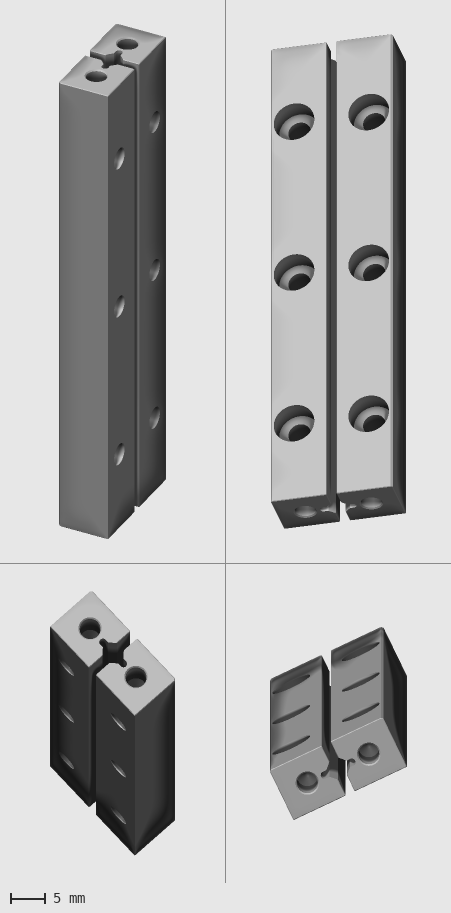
import cadquery as cq
import math

length = 75.0
thickness = 8.0
pair_width = 18.0
rail_gap = 1.4
rail_width = (pair_width - rail_gap) / 2
half_gap = rail_gap / 2

long_edge_chamfer = 0.26
fine_chamfer = 0.1

groove_half_width = 1.4
relief_radius = 0.5
relief_bottom_y = 2.7

mount_count = 3
mount_pitch = length / mount_count
mount_spacing = 11.0
mount_y = mount_spacing / 2
mount_diameter = 3.3
counterbore_diameter = 6.0
counterbore_depth = 3.2

end_hole_spacing = 9.75
end_hole_y = end_hole_spacing / 2
end_hole_diameter = 3.0
end_hole_mouth_diameter = 3.4
end_hole_depth = 6.0
drill_point_half_angle = 45.0


def rail_blank():
    """Rectangular bar with a chamfer on its outer -X edge and fine ones on its inner edges and ends."""
    bar = cq.Workplane("XY").box(thickness, rail_width, length)
    bar = bar.translate((0, half_gap + rail_width / 2, 0))
    bar = bar.edges("|Z and <X and >Y").chamfer(long_edge_chamfer)
    bar = bar.edges("|Z and <Y").chamfer(fine_chamfer)
    return bar.faces("<Z or >Z").chamfer(fine_chamfer)


def groove_cutter():
    """45 degree V-groove that runs into the relief slot."""
    slot_mouth_y = half_gap + groove_half_width - relief_radius
    slot_arc_y = relief_bottom_y - relief_radius
    return (
        cq.Workplane("XY", origin=(0, 0, -length / 2))
        .moveTo(-groove_half_width, half_gap)
        .lineTo(-relief_radius, slot_mouth_y)
        .lineTo(-relief_radius, slot_arc_y)
        .threePointArc((0, relief_bottom_y), (relief_radius, slot_arc_y))
        .lineTo(relief_radius, slot_mouth_y)
        .lineTo(groove_half_width, half_gap)
        .close()
        .extrude(length)
    )


def mount_hole_cutter(z):
    """Through hole along X with its counterbore sunk from the -X face."""
    start = cq.Workplane("YZ", origin=(-thickness / 2, mount_y, z))
    hole = start.circle(mount_diameter / 2).extrude(thickness)
    counterbore = start.circle(counterbore_diameter / 2).extrude(counterbore_depth)
    return hole.union(counterbore)


def end_hole_cutter():
    """Blind drilled hole at the top end, with a chamfered mouth and a conical bottom."""
    radius = end_hole_diameter / 2
    mouth_radius = end_hole_mouth_diameter / 2
    mouth_depth = mouth_radius - radius
    point_length = radius / math.tan(math.radians(drill_point_half_angle))
    return (
        cq.Workplane("XZ")
        .moveTo(0, 0)
        .lineTo(mouth_radius, 0)
        .lineTo(radius, -mouth_depth)
        .lineTo(radius, -end_hole_depth)
        .lineTo(0, -end_hole_depth - point_length)
        .close()
        .revolve(360, (0, 0, 0), (0, 1, 0))
        .translate((0, end_hole_y, length / 2))
    )


def make_rail():
    """Rail on the +Y side of the pair."""
    rail = rail_blank().cut(groove_cutter())
    for index in range(mount_count):
        z = (index - (mount_count - 1) / 2) * mount_pitch
        rail = rail.cut(mount_hole_cutter(z))
    top_hole = end_hole_cutter()
    return rail.cut(top_hole).cut(top_hole.mirror("XY"))


back_rail = make_rail()
front_rail = back_rail.mirror("XZ")

result = cq.Compound.makeCompound([back_rail.val(), front_rail.val()])